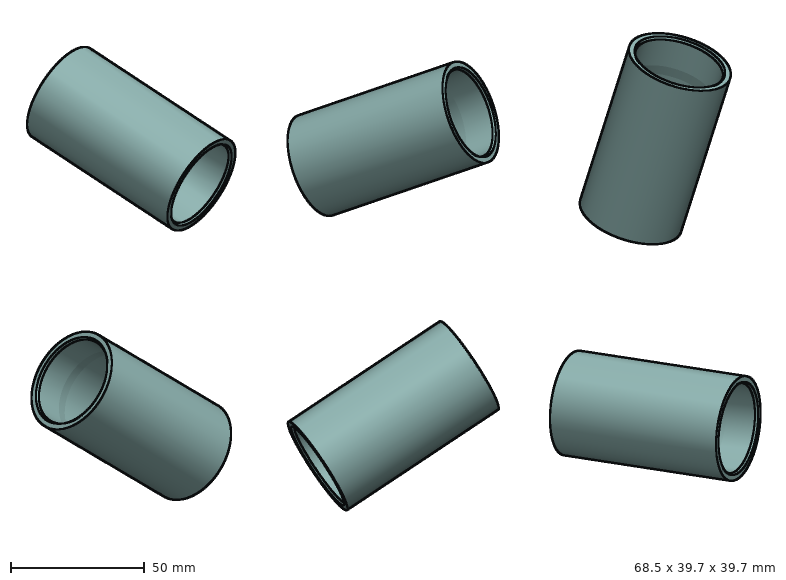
import cadquery as cq

length = 68.5
outer_diameter = 39.69

mouth_diameter = 35.2
chamfer_length = 1.05
land_diameter = 34.05
land_length = 11.6
taper_length = 3.9
relief_diameter = 35.0

half_length = length / 2
land_start = half_length - chamfer_length
land_end = land_start - land_length
relief_end = land_end - taper_length


def sleeve_profile():
    """Half section of the wall as (x, radius) points."""
    left_bore = [
        (-half_length, mouth_diameter / 2),
        (-land_start, land_diameter / 2),
        (-land_end, land_diameter / 2),
        (-relief_end, relief_diameter / 2),
    ]
    right_bore = [(-x, radius) for x, radius in reversed(left_bore)]
    outside = [
        (half_length, outer_diameter / 2),
        (-half_length, outer_diameter / 2),
    ]
    return cq.Workplane("XY").polyline(left_bore + right_bore + outside).close()


result = sleeve_profile().revolve(360, (0, 0, 0), (1, 0, 0))